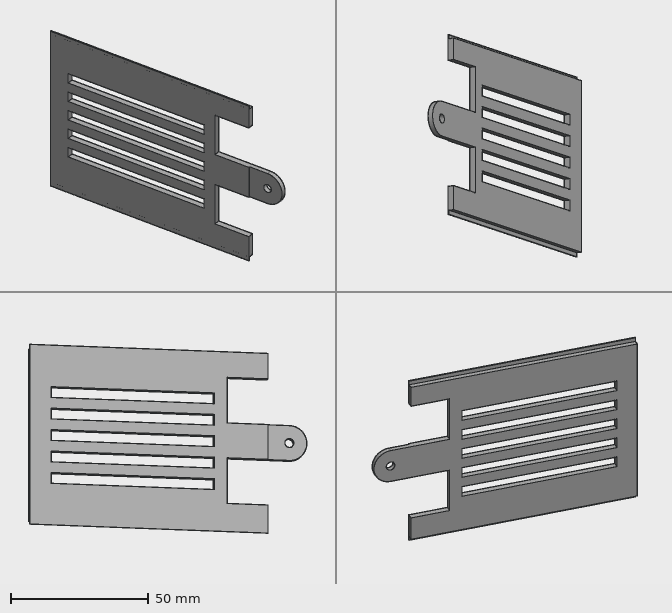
import cadquery as cq

PLATE_LENGTH = 88.5
PLATE_HEIGHT = 67.0
THICKNESS = 2.5
LIP_THICKNESS = 0.5
LIP_WIDTH = 1.5
BODY_THICKNESS = THICKNESS - LIP_THICKNESS

TONGUE_RADIUS = 6.5
TONGUE_TIP_X = 103.0
TONGUE_CENTER_Z = 34.0
TONGUE_HOLE_DIAMETER = 3.3
TONGUE_CENTER_X = TONGUE_TIP_X - TONGUE_RADIUS

NOTCH_DEPTH = 15.1
NOTCH_HEIGHT = 17.0
NOTCH_OFFSET = TONGUE_RADIUS + NOTCH_HEIGHT / 2

SLOT_COUNT = 5
SLOT_LENGTH = 60.5
SLOT_HEIGHT = 4.0
SLOT_PITCH = 8.0
SLOT_START_X = 8.0
SLOT_ROW_CENTER_Z = PLATE_HEIGHT / 2


def block(x_start, length, z_center, height, y_start=0.0, depth=THICKNESS):
    """Box placed by its low X and Y faces and its middle Z."""
    box = cq.Workplane("XY").box(length, depth, height, centered=(False, False, True))
    return box.translate((x_start, y_start, z_center))


def cylinder_y(radius):
    """Cylinder along Y at the tongue centre, as thick as the body."""
    cylinder = cq.Workplane("XZ").circle(radius).extrude(-BODY_THICKNESS)
    return cylinder.translate((TONGUE_CENTER_X, LIP_THICKNESS, TONGUE_CENTER_Z))


def make_plate():
    middle_z = PLATE_HEIGHT / 2
    sheet = block(0, PLATE_LENGTH, middle_z, PLATE_HEIGHT, depth=LIP_THICKNESS)
    body_height = PLATE_HEIGHT - 2 * LIP_WIDTH
    body = block(0, PLATE_LENGTH, middle_z, body_height, LIP_THICKNESS, BODY_THICKNESS)
    return sheet.union(body)


def cut_notches(plate):
    for side in (-1, 1):
        center_z = TONGUE_CENTER_Z + side * NOTCH_OFFSET
        plate = plate.cut(block(PLATE_LENGTH - NOTCH_DEPTH, NOTCH_DEPTH, center_z, NOTCH_HEIGHT))
    return plate


def cut_slots(plate):
    for index in range(SLOT_COUNT):
        center_z = SLOT_ROW_CENTER_Z + (index - (SLOT_COUNT - 1) / 2) * SLOT_PITCH
        plate = plate.cut(block(SLOT_START_X, SLOT_LENGTH, center_z, SLOT_HEIGHT))
    return plate


def add_tongue(plate):
    straight_length = TONGUE_CENTER_X - PLATE_LENGTH
    straight = block(PLATE_LENGTH, straight_length, TONGUE_CENTER_Z, 2 * TONGUE_RADIUS,
                     LIP_THICKNESS, BODY_THICKNESS)
    plate = plate.union(straight).union(cylinder_y(TONGUE_RADIUS))
    return plate.cut(cylinder_y(TONGUE_HOLE_DIAMETER / 2))


result = add_tongue(cut_slots(cut_notches(make_plate())))